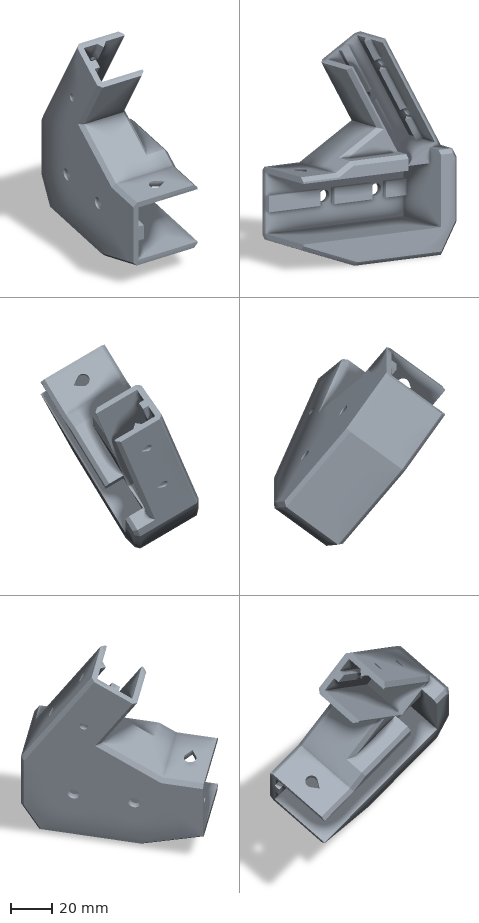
import cadquery as cq
import math

length = 90.5
height = 107.9
beam_depth = 36.0
arm_depth = 26.0
edge_chamfer = 2.0
wall = 3.0

arm_angle = 60.0
arm_width = 26.0
left_top_z = 47.4
left_bottom_z = 15.9
crotch_z = 64.5
beam_top_z = 47.1
beam_bottom_z = 11.1
bottom_end_x = 59.4
shoulder_z = 51.9

rib_width = 4.5
rib_height = 2.9
ridge_height = 2.6
ridge_half_width = 2.4

cavity_start_x = 10.6
slot_end_x = 29.3
beam_rib_width = 8.0
beam_rib_height = 2.9

beam_hole_diameter = 6.0
beam_hole_x = 26.4
bolt_pitch = 30.0
top_hole_x = 80.4
arm_hole_diameter = 4.0
tip_ratio = 1.8
key_clearance = 1.0
arm_side_hole_distance = 25.4

slope = math.tan(math.radians(arm_angle))
along = (math.cos(math.radians(arm_angle)), math.sin(math.radians(arm_angle)))
across = (along[1], -along[0])
arm_length = (height - left_top_z) / along[1]
beam_hole_xs = (beam_hole_x, beam_hole_x + bolt_pitch)
side_hole_distances = (arm_side_hole_distance, arm_side_hole_distance + bolt_pitch)
floor_hole_distance = arm_side_hole_distance + bolt_pitch / 2
beam_middle_z = (beam_top_z + beam_bottom_z) / 2


def arm_point(distance, offset):
    """X, Z of a point along the arm and across it from its outer left face."""
    return (
        distance * along[0] + offset * across[0],
        left_top_z + distance * along[1] + offset * across[1],
    )


def arm_plane(distance):
    """Plane square to the arm: local X across it, local Y to the back, normal along it."""
    x, z = arm_point(distance, 0)
    return cq.Plane(origin=(x, 0, z), xDir=(across[0], 0, across[1]), normal=(along[0], 0, along[1]))


arm_tip = arm_point(arm_length, 0)
arm_tip_inner = arm_point(arm_length, arm_width)
crotch_x = arm_tip_inner[0] - (arm_tip_inner[1] - crotch_z) / slope


def web_x(z):
    """X on the sloping web, which runs square to the arm from the crotch."""
    return crotch_x + (crotch_z - z) * slope


lower_outline = [
    (web_x(beam_top_z), beam_top_z),
    (length, beam_top_z),
    (length, beam_bottom_z),
    (bottom_end_x, 0),
    (left_bottom_z / slope, 0),
    (0, left_bottom_z),
    (0, left_top_z),
]
full_outline = [arm_tip, arm_tip_inner, (crotch_x, crotch_z)] + lower_outline
housing_outline = [
    ((shoulder_z - left_top_z) / slope, shoulder_z),
    (web_x(shoulder_z), shoulder_z),
] + lower_outline


def chamfered_plate(outline, depth):
    """Plate from Y = 0 to depth, chamfered along both faces except at its open ends."""
    plate = cq.Workplane("XZ").polyline(outline).close().extrude(-depth)
    middle_z = (arm_tip[1] + arm_tip_inner[1]) / 2

    def is_chamfered(edge):
        center = edge.Center()
        on_beam_end = center.x > length - edge_chamfer / 2 and edge.BoundingBox().xlen < edge_chamfer / 2
        on_arm_end = abs(center.z - middle_z) < edge_chamfer / 2
        return not (on_beam_end or on_arm_end)

    edges = plate.faces("<Y or >Y").edges().filter(is_chamfered)
    return edges.chamfer(edge_chamfer)


def box(x_range, y_range, z_range):
    size = [high - low for low, high in (x_range, y_range, z_range)]
    corner = (x_range[0], y_range[0], z_range[0])
    return cq.Workplane("XY").box(*size, centered=False).translate(corner)


def teardrop(plane, diameter, depth):
    """Round hole with a point toward local +Y whose flanks are tangent to the circle."""
    radius = diameter / 2
    tangent_y = radius / tip_ratio
    tangent_x = math.sqrt(radius**2 - tangent_y**2)
    return (
        cq.Workplane(plane)
        .moveTo(tangent_x, tangent_y)
        .lineTo(0, radius * tip_ratio)
        .lineTo(-tangent_x, tangent_y)
        .threePointArc((0, -radius), (tangent_x, tangent_y))
        .close()
        .extrude(depth)
    )


def front_holes(points, diameter):
    """Round holes along Y at the given X, Z points."""
    return cq.Workplane("XZ").pushPoints(points).circle(diameter / 2).extrude(-beam_depth)


def arm_key(profile, start, hole_distances):
    """Bar along the arm with the given section, interrupted at the holes it would cover."""
    key = cq.Workplane(arm_plane(start)).polyline(profile).close().extrude(arm_length - start)
    gap = arm_hole_diameter + 2 * key_clearance
    for distance in hole_distances:
        gap_plane = arm_plane(distance - gap / 2)
        key = key.cut(cq.Workplane(gap_plane).rect(2 * arm_width, 2 * arm_depth).extrude(gap))
    return key


def arm_channel():
    """Channel open at the back and at the arm end, with a floor rib and a side ridge left standing."""
    right = arm_width - wall
    start = (beam_top_z - wall - left_top_z - right * across[1]) / along[1]
    middle = arm_width / 2
    rib_left = middle - rib_width / 2
    rib_right = middle + rib_width / 2
    hollow_profile = [(wall, wall), (right, wall), (right, arm_depth), (wall, arm_depth)]
    rib_profile = [
        (rib_left, wall),
        (rib_right, wall),
        (rib_right, wall + rib_height),
        (rib_left, wall + rib_height),
    ]
    ridge_profile = [
        (wall, arm_depth / 2 - ridge_half_width),
        (wall + ridge_height, arm_depth / 2),
        (wall, arm_depth / 2 + ridge_half_width),
    ]
    hollow = cq.Workplane(arm_plane(start)).polyline(hollow_profile).close().extrude(arm_length - start)
    hollow = hollow.cut(arm_key(rib_profile, start, [floor_hole_distance]))
    return hollow.cut(arm_key(ridge_profile, start, side_hole_distances))


body = chamfered_plate(full_outline, arm_depth).union(chamfered_plate(housing_outline, beam_depth))
body = body.cut(arm_channel())

cavity_top_z = beam_top_z - wall
cavity = box((cavity_start_x, length), (wall, beam_depth), (beam_bottom_z + wall, cavity_top_z))
rib_z = (beam_middle_z - beam_rib_width / 2, beam_middle_z + beam_rib_width / 2)
beam_rib = box((cavity_start_x, length), (wall, wall + beam_rib_height), rib_z)
gap = beam_hole_diameter / 2 + key_clearance
for x in beam_hole_xs:
    beam_rib = beam_rib.cut(box((x - gap, x + gap), (wall, wall + beam_rib_height), rib_z))
body = body.cut(cavity.cut(beam_rib))

body = body.cut(box((cavity_start_x, slot_end_x), (arm_depth, beam_depth), (cavity_top_z, shoulder_z)))

floor_hole = arm_point(floor_hole_distance, arm_width / 2)
body = body.cut(front_holes([(x, beam_middle_z) for x in beam_hole_xs], beam_hole_diameter))
body = body.cut(front_holes([floor_hole], arm_hole_diameter))

top_hole_plane = cq.Plane(origin=(top_hole_x, beam_depth / 2, cavity_top_z), xDir=(1, 0, 0), normal=(0, 0, 1))
body = body.cut(teardrop(top_hole_plane, beam_hole_diameter, wall))

for distance in side_hole_distances:
    x, z = arm_point(distance, 0)
    side_hole_plane = cq.Plane(
        origin=(x, arm_depth / 2, z),
        xDir=(-along[0], 0, -along[1]),
        normal=(across[0], 0, across[1]),
    )
    body = body.cut(teardrop(side_hole_plane, arm_hole_diameter, arm_width / 2))

result = body